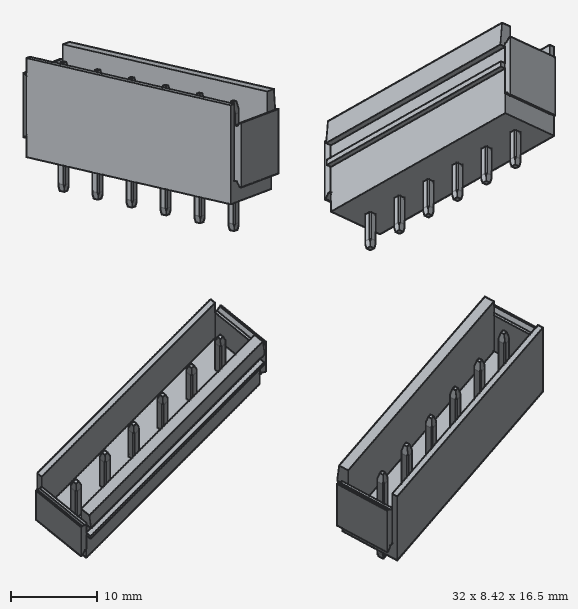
import cadquery as cq

PIN_COUNT = 6
PIN_PITCH = 5.0
PIN_WIDTH = 1.02
PIN_CHAMFER = 0.15
PIN_TAIL = 4.5
PIN_TOP_DROP = 0.9
TOP_TIP_WIDTH = 0.45
TOP_TIP_LENGTH = 1.35
TAIL_TIP_WIDTH = 0.65
TAIL_TIP_LENGTH = 0.95

HOUSING_LENGTH = 30.0
HOUSING_HEIGHT = 12.0
FRONT_TO_PINS = 3.78
BODY_DEPTH = 7.65
FRONT_WALL = 0.7
CAVITY_DEPTH = 6.15

CATCH_HEIGHT = 3.07
CATCH_TOP_REACH = 0.48
CATCH_BOTTOM_REACH = 0.77
RIB_REACH = 0.67
RIB_TOP_DROP = 5.28
RIB_HEIGHT = 0.7

OVERALL_LENGTH = 32.0
END_WALL_DEPTH = 7.05
END_WALL_TOP_DROP = 2.15
END_WALL_HEIGHT = 7.8
END_LIP = 0.2
END_NECK = 0.32
NECK_TOP_STEP = 0.48
NECK_BOTTOM_STEP = 0.6

front_y = -FRONT_TO_PINS
rear_y = front_y + BODY_DEPTH
cavity_front_y = front_y + FRONT_WALL
half_length = HOUSING_LENGTH / 2
half_overall = OVERALL_LENGTH / 2
end_top_z = HOUSING_HEIGHT - END_WALL_TOP_DROP
end_bottom_z = end_top_z - END_WALL_HEIGHT
floor_z = end_bottom_z + NECK_BOTTOM_STEP
pin_top_z = HOUSING_HEIGHT - PIN_TOP_DROP
first_pin_x = -PIN_PITCH * (PIN_COUNT - 1) / 2


def make_trough():
    """Floor with front and rear walls, plus the rear catch and rib, open at both ends."""
    rib_top_z = HOUSING_HEIGHT - RIB_TOP_DROP
    rib_bottom_z = rib_top_z - RIB_HEIGHT
    catch_z = HOUSING_HEIGHT - CATCH_HEIGHT
    cavity_rear_y = cavity_front_y + CAVITY_DEPTH
    profile = [
        (front_y, 0),
        (rear_y, 0),
        (rear_y, rib_bottom_z),
        (rear_y + RIB_REACH, rib_bottom_z),
        (rear_y + RIB_REACH, rib_top_z),
        (rear_y, rib_top_z),
        (rear_y, catch_z),
        (rear_y + CATCH_BOTTOM_REACH, catch_z),
        (rear_y + CATCH_TOP_REACH, HOUSING_HEIGHT),
        (cavity_rear_y, HOUSING_HEIGHT),
        (cavity_rear_y, floor_z),
        (cavity_front_y, floor_z),
        (cavity_front_y, HOUSING_HEIGHT),
        (front_y, HOUSING_HEIGHT),
    ]
    return cq.Workplane("YZ").polyline(profile).close().extrude(half_length, both=True)


def make_end_wall(side):
    """Dovetail plate at the -X (side = -1) or +X (side = 1) end of the trough."""
    lip_x = half_overall - END_LIP
    neck_x = half_length + END_NECK
    neck_top_z = end_top_z - NECK_TOP_STEP
    profile = [
        (side * half_length, floor_z),
        (side * neck_x, floor_z),
        (side * lip_x, end_bottom_z),
        (side * half_overall, end_bottom_z),
        (side * half_overall, end_top_z),
        (side * lip_x, end_top_z),
        (side * neck_x, neck_top_z),
        (side * half_length, neck_top_z),
    ]
    wall_plane = cq.Workplane("XZ", origin=(0, cavity_front_y, 0))
    return wall_plane.polyline(profile).close().extrude(-END_WALL_DEPTH)


def make_square_bar(x, bottom_z, top_z):
    """Upright square bar of the pin width."""
    return cq.Workplane("XY", origin=(x, 0, bottom_z)).rect(PIN_WIDTH, PIN_WIDTH).extrude(top_z - bottom_z)


def make_bevelled_bar(x, bottom_z, top_z):
    """Square bar with bevelled long edges: the section of the pins and of their holes."""
    return make_square_bar(x, bottom_z, top_z).edges("|Z").chamfer(PIN_CHAMFER)


def make_tip(x, base_z, end_z, end_width):
    """Square pyramid frustum from the full pin width at base_z to end_width at end_z."""
    base = cq.Workplane("XY", origin=(x, 0, base_z)).rect(PIN_WIDTH, PIN_WIDTH)
    return base.workplane(offset=end_z - base_z).rect(end_width, end_width).loft(ruled=True)


def make_pin(x):
    """Bevelled pin tapered at both ends."""
    shank_bottom_z = -PIN_TAIL + TAIL_TIP_LENGTH
    shank_top_z = pin_top_z - TOP_TIP_LENGTH
    pointed = make_square_bar(x, shank_bottom_z, shank_top_z)
    pointed = pointed.union(make_tip(x, shank_top_z, pin_top_z, TOP_TIP_WIDTH))
    pointed = pointed.union(make_tip(x, shank_bottom_z, -PIN_TAIL, TAIL_TIP_WIDTH))
    return pointed.intersect(make_bevelled_bar(x, -PIN_TAIL, pin_top_z))


pin_places = [first_pin_x + i * PIN_PITCH for i in range(PIN_COUNT)]

housing = make_trough()
for side in (-1, 1):
    housing = housing.union(make_end_wall(side))
for x in pin_places:
    housing = housing.cut(make_bevelled_bar(x, 0, floor_z))

pins = [make_pin(x) for x in pin_places]

result = cq.Compound.makeCompound([housing.val(), *[pin.val() for pin in pins]])